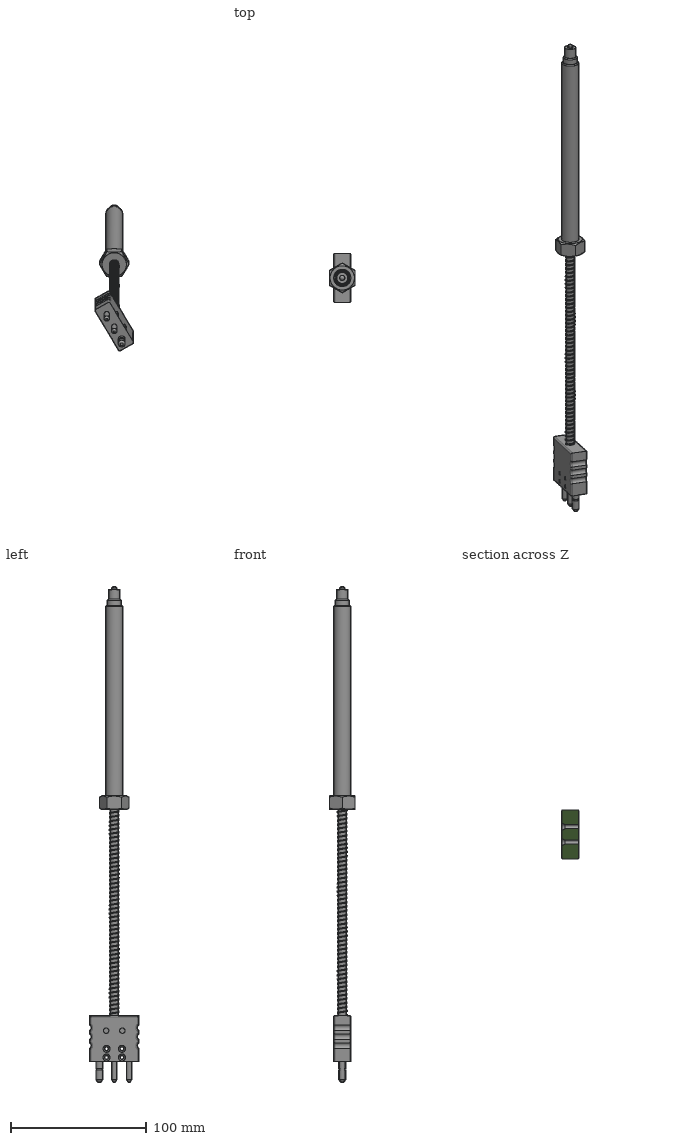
import cadquery as cq
import math

OVERLAP = 0.2

nut_flats = 19.05
nut_height = 10.3
nut_corner_drop = 1.1
nut_face_diameter = 18.0
rod_diameter = 12.7
rod_length = 140.9
collar_diameter = 10.4
collar_length = 4.5
neck_diameter = 8.2
neck_length = 7.1
tip_diameter = 3.8
tip_length = 2.36
tip_dome_height = 1.2
step_chamfer = 0.8

cable_length = 152.4
cable_turns = 49
cable_core_diameter = 6.2
cable_outer_diameter = 7.4
ridge_width = 0.7

block_thickness = 12.7
block_width = 36.45
block_height = 34.1
block_round = 1.1
grip_count = 3
grip_pitch = 6.63
grip_height = 4.2
grip_depth = 1.1
first_grip_drop = 9.0
screw_spacing = 12.0
screw_diameter = 4.0
screw_depth = 1.5
screw_drop = 11.2
eyelet_spacing = 11.4
eyelet_drops = (24.6, 31.0)
eyelet_mouth_diameter = 5.2
eyelet_bore_diameter = 2.6
eyelet_cone_depth = 2.5
pin_spacing = 11.05
pin_length = 15.4
pin_point_length = 2.2
pin_diameter = 4.0
pin_end_diameter = 1.3
jack_diameter = 5.2
jack_end_diameter = 2.2
jack_groove_width = 1.1
jack_groove_depth = 0.4
jack_groove_drop = 5.8

block_top = -cable_length
block_bottom = block_top - block_height


def round_bar(diameter, bottom, top):
    """Plain cylinder on the Z axis between two heights."""
    return cq.Workplane("XY").workplane(offset=bottom).circle(diameter / 2).extrude(top - bottom)


def make_nut():
    """Hex nut with flats facing +X and -X and round chamfers at both ends."""
    corner_diameter = nut_flats / math.cos(math.pi / 6)
    hexagon = (
        cq.Workplane("XY")
        .polygon(6, corner_diameter)
        .extrude(nut_height)
        .rotate((0, 0, 0), (0, 0, 1), 30)
    )
    face_radius = nut_face_diameter / 2
    corner_radius = corner_diameter / 2
    turned_blank = (
        cq.Workplane("XZ")
        .moveTo(0, 0)
        .lineTo(face_radius, 0)
        .lineTo(corner_radius, nut_corner_drop)
        .lineTo(corner_radius, nut_height - nut_corner_drop)
        .lineTo(face_radius, nut_height)
        .lineTo(0, nut_height)
        .close()
        .revolve(360, (0, 0, 0), (0, 1, 0))
    )
    return hexagon.intersect(turned_blank)


def make_probe():
    """Rod standing on the nut, stepped down to the tip."""
    probe = make_nut()
    base = nut_height
    steps = [
        (rod_diameter, rod_length, True),
        (collar_diameter, collar_length, True),
        (neck_diameter, neck_length, False),
    ]
    for diameter, length, chamfered in steps:
        step = round_bar(diameter, base - OVERLAP, base + length)
        if chamfered:
            step = step.faces(">Z").chamfer(step_chamfer)
        probe = probe.union(step)
        base += length
    tip_radius = tip_diameter / 2
    shoulder = base + tip_length - tip_dome_height
    dome_radius = (tip_radius**2 + tip_dome_height**2) / (2 * tip_dome_height)
    dome_centre = base + tip_length - dome_radius
    dome = cq.Workplane("XY").sphere(dome_radius).translate((0, 0, dome_centre))
    dome = dome.intersect(round_bar(tip_diameter, shoulder, base + tip_length))
    tip = round_bar(tip_diameter, base - OVERLAP, shoulder).union(dome)
    return probe.union(tip)


def make_cable():
    """Round core wrapped by a right-handed spiral ridge of rectangular section."""
    inner_radius = cable_core_diameter / 2 - OVERLAP
    outer_radius = cable_outer_diameter / 2
    helix_height = cable_length - ridge_width
    helix = cq.Wire.makeHelix(helix_height / cable_turns, helix_height, inner_radius)
    ridge = (
        cq.Workplane("XZ")
        .center((inner_radius + outer_radius) / 2, 0)
        .rect(outer_radius - inner_radius, ridge_width)
        .sweep(cq.Workplane(obj=helix), isFrenet=True)
        .translate((0, 0, block_top + ridge_width / 2))
    )
    return round_bar(cable_core_diameter, block_top, 0).union(ridge)


def make_block():
    """Connector block with arc grips in both narrow sides and rounded upright and top edges."""
    half = block_width / 2
    valley = half - grip_depth
    outline = cq.Workplane("YZ").moveTo(-half, block_bottom).lineTo(half, block_bottom)
    grip_centres = [block_top - first_grip_drop - i * grip_pitch for i in range(grip_count)]
    for z in reversed(grip_centres):
        outline = outline.lineTo(half, z - grip_height / 2)
        outline = outline.threePointArc((valley, z), (half, z + grip_height / 2))
    outline = outline.lineTo(half, block_top).lineTo(-half, block_top)
    for z in grip_centres:
        outline = outline.lineTo(-half, z + grip_height / 2)
        outline = outline.threePointArc((-valley, z), (-half, z - grip_height / 2))
    block = outline.close().extrude(block_thickness / 2, both=True)
    rim = block.faces("<X or >X").edges().filter(lambda edge: edge.Center().z > block_bottom + OVERLAP)
    return block.newObject(rim.vals()).fillet(block_round)


def make_pin(y, diameter, end_diameter):
    """Round pin with a conical point, hanging from the block at the given Y."""
    shank = pin_length - pin_point_length
    radius = diameter / 2
    return (
        cq.Workplane("XZ")
        .moveTo(0, OVERLAP)
        .lineTo(radius, OVERLAP)
        .lineTo(radius, -shank)
        .lineTo(end_diameter / 2, -pin_length)
        .lineTo(0, -pin_length)
        .close()
        .revolve(360, (0, 0, 0), (0, 1, 0))
        .translate((0, y, block_bottom))
    )


def make_jack():
    """Thick pin on the +Y side with a ring groove around its shank."""
    groove = (
        cq.Workplane("XY")
        .workplane(offset=block_bottom - jack_groove_drop - jack_groove_width / 2)
        .center(0, pin_spacing)
        .circle(jack_diameter / 2)
        .circle(jack_diameter / 2 - jack_groove_depth)
        .extrude(jack_groove_width)
    )
    return make_pin(pin_spacing, jack_diameter, jack_end_diameter).cut(groove)


def make_connector():
    """Block with screw recesses, countersunk through holes, two plain pins and the jack."""
    connector = make_block()
    face = -block_thickness / 2
    for side in (-1, 1):
        screw = (
            cq.Workplane("YZ", origin=(face, side * screw_spacing / 2, block_top - screw_drop))
            .circle(screw_diameter / 2)
            .extrude(screw_depth)
        )
        connector = connector.cut(screw)
        for drop in eyelet_drops:
            plane = cq.Workplane("YZ", origin=(face, side * eyelet_spacing / 2, block_top - drop))
            bore = plane.circle(eyelet_bore_diameter / 2).extrude(block_thickness)
            mouth = (
                plane.circle(eyelet_mouth_diameter / 2)
                .workplane(offset=eyelet_cone_depth)
                .circle(eyelet_bore_diameter / 2)
                .loft()
            )
            connector = connector.cut(bore).cut(mouth)
    for y in (-pin_spacing, 0):
        connector = connector.union(make_pin(y, pin_diameter, pin_end_diameter))
    return connector.union(make_jack())


probe = make_probe()
cable = make_cable()
connector = make_connector()
result = cq.Compound.makeCompound([probe.val(), cable.val(), connector.val()])